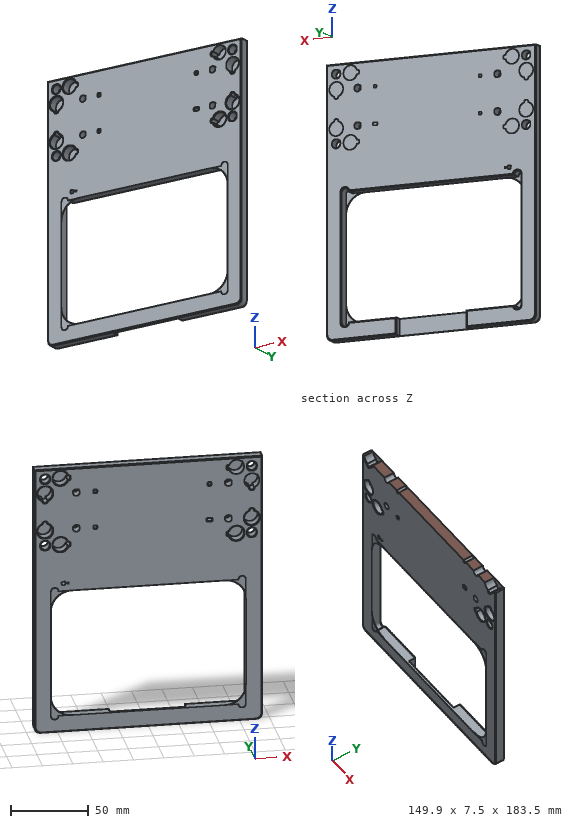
import cadquery as cq

WIDTH = 149.9
HEIGHT = 183.5
THICKNESS = 7.5
BOTTOM_CORNER_RADIUS = 4.0
EDGE_CHAMFER = 0.7
HOLE_CHAMFER = 0.45
SKIN = 0.28

WINDOW_WIDTH = 128.5
WINDOW_HEIGHT = 86.8
WINDOW_BOTTOM = 11.4 - HEIGHT / 2
WINDOW_CORNER_RADIUS = 13.5
RELIEF_DIAMETER = 5.0
NOTCH_WIDTH = 50.0
NOTCH_LIP = 2.0

PATTERN_Z = 62.0
CORNER_HOLE_X = 68.0
CORNER_HOLE_Z = 23.1
CORNER_HOLE_DIAMETER = 6.0
POCKET_PITCH = 10.0
POCKET_DIAMETER = 9.9
LUG_DIAMETER = 3.0
INNER_PATTERN_X = 2.5
SCREW_HOLE_X = 50.0
SCREW_HOLE_Z = 12.5
SCREW_HOLE_DIAMETER = 4.5

PIN_OFFSET_X = 37.6
PIN_DIAMETER = 2.0
PIN_SLOT_LENGTH = 3.5

RESET_X = -56.0
RESET_Z = 11.7
RESET_DIAMETER = 2.5
MARK_OFFSET = 3.0
MARK_DIAMETER = 1.0

BLIND_DEPTH = THICKNESS - SKIN


def front_plane(depth=0):
    """Sketch plane parallel to the front face, seen from the front; it extrudes towards -Y."""
    return cq.Workplane("XZ", origin=(0, depth, 0))


def drill(x, z, diameter, depth):
    return front_plane().center(x, z).circle(diameter / 2).extrude(-depth)


def countersink(x, z, diameter):
    """Cone that breaks the front edge of a round hole."""
    return (
        front_plane().center(x, z).circle(diameter / 2 + HOLE_CHAMFER)
        .workplane(offset=-HOLE_CHAMFER).circle(diameter / 2).loft(ruled=True)
    )


def chamfered_hole(x, z, diameter, depth):
    return drill(x, z, diameter, depth).union(countersink(x, z, diameter))


def window():
    """Rounded opening in the front skin, square with relieved corners behind it."""
    mid_z = WINDOW_BOTTOM + WINDOW_HEIGHT / 2
    opening = (
        front_plane().center(0, mid_z).rect(WINDOW_WIDTH, WINDOW_HEIGHT).extrude(-THICKNESS)
        .edges("|Y").fillet(WINDOW_CORNER_RADIUS)
    )
    behind = front_plane(SKIN).center(0, mid_z)
    square = behind.rect(WINDOW_WIDTH, WINDOW_HEIGHT).extrude(-BLIND_DEPTH)
    reliefs = (
        behind.rect(WINDOW_WIDTH - RELIEF_DIAMETER, WINDOW_HEIGHT, forConstruction=True).vertices()
        .circle(RELIEF_DIAMETER / 2).extrude(-BLIND_DEPTH)
    )
    return opening.union(square).union(reliefs)


def rail_notch():
    """Cut behind the middle of the bottom rail that leaves a thin front lip."""
    rail_height = WINDOW_BOTTOM + HEIGHT / 2
    return (
        front_plane(NOTCH_LIP).center(0, WINDOW_BOTTOM - rail_height / 2)
        .rect(NOTCH_WIDTH, rail_height).extrude(NOTCH_LIP - THICKNESS)
    )


def frame():
    """Plate with the window and rail notch, chamfered around both faces."""
    body = cq.Workplane("XY").box(WIDTH, THICKNESS, HEIGHT).translate((0, THICKNESS / 2, 0))
    body = body.edges("|Y and <Z").fillet(BOTTOM_CORNER_RADIUS)
    body = body.faces("<Y").edges().chamfer(EDGE_CHAMFER)
    body = body.cut(window()).cut(rail_notch())
    return body.faces(">Y").edges().chamfer(EDGE_CHAMFER)


def magnet_pocket(x, z, lug_x, lug_z, chamfered):
    """Round blind pocket with a small removal lug on the side given by (lug_x, lug_z)."""
    make_pocket = chamfered_hole if chamfered else drill
    pocket = make_pocket(x, z, POCKET_DIAMETER, BLIND_DEPTH)
    lug_offset = POCKET_DIAMETER / 2
    lug = chamfered_hole(x + lug_x * lug_offset, z + lug_z * lug_offset, LUG_DIAMETER, BLIND_DEPTH)
    return pocket.union(lug)


def corner_group(side_x, side_z):
    """Through hole, its two magnet pockets and a screw hole in one corner of the pattern."""
    x = side_x * CORNER_HOLE_X
    z = PATTERN_Z + side_z * CORNER_HOLE_Z
    chamfered = not (side_x > 0 and side_z > 0)
    inner_x = x - side_x * POCKET_PITCH
    inner_z = z - side_z * POCKET_PITCH
    screw_x = INNER_PATTERN_X + side_x * SCREW_HOLE_X
    screw_z = PATTERN_Z + side_z * SCREW_HOLE_Z
    return (
        chamfered_hole(x, z, CORNER_HOLE_DIAMETER, THICKNESS)
        .union(magnet_pocket(inner_x, z, -side_x, 0, chamfered))
        .union(magnet_pocket(x, inner_z, 0, -side_z, chamfered))
        .union(drill(screw_x, screw_z, SCREW_HOLE_DIAMETER, THICKNESS))
    )


def pin_slot(x, z):
    slot = front_plane().center(x, z).slot2D(PIN_SLOT_LENGTH, PIN_DIAMETER).extrude(-BLIND_DEPTH)
    rim = (
        front_plane().center(x, z)
        .slot2D(PIN_SLOT_LENGTH + 2 * HOLE_CHAMFER, PIN_DIAMETER + 2 * HOLE_CHAMFER)
        .workplane(offset=-HOLE_CHAMFER).slot2D(PIN_SLOT_LENGTH, PIN_DIAMETER).loft(ruled=True)
    )
    return slot.union(rim)


left_pin_x = INNER_PATTERN_X - PIN_OFFSET_X
right_pin_x = INNER_PATTERN_X + PIN_OFFSET_X
upper_z = PATTERN_Z + SCREW_HOLE_Z
lower_z = PATTERN_Z - SCREW_HOLE_Z

result = frame()
for side_x in (-1, 1):
    for side_z in (-1, 1):
        result = result.cut(corner_group(side_x, side_z))
for pin_x, pin_z in ((left_pin_x, upper_z), (left_pin_x, lower_z), (right_pin_x, upper_z)):
    result = result.cut(chamfered_hole(pin_x, pin_z, PIN_DIAMETER, BLIND_DEPTH))
result = result.cut(pin_slot(right_pin_x, lower_z))
result = result.cut(drill(RESET_X, RESET_Z, RESET_DIAMETER, THICKNESS))
result = result.cut(drill(RESET_X + MARK_OFFSET, RESET_Z, MARK_DIAMETER, BLIND_DEPTH))